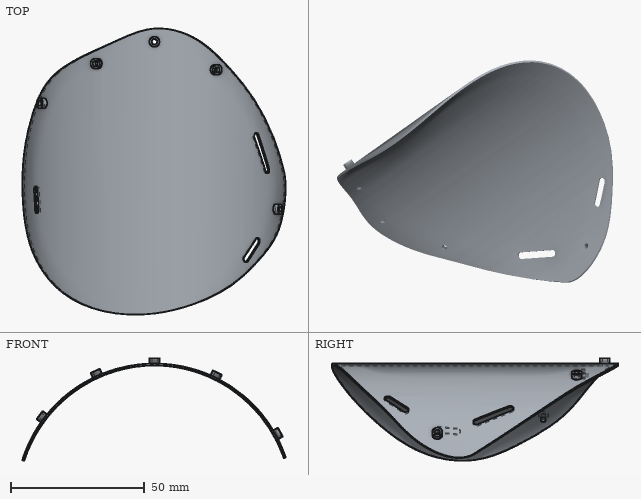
import cadquery as cq
import math

outer_radius = 52.1
thickness = 0.8
blank_length = 120.0

rim_points = [
    (69.4, 0.0),
    (56.0, 16.6),
    (44.0, 29.1),
    (31.8, 39.8),
    (17.8, 49.8),
    (0.0, 53.9),
    (-17.4, 48.7),
    (-33.9, 42.4),
    (-50.7, 33.5),
    (-63.6, 18.8),
    (-72.1, 0.0),
    (-68.5, -20.2),
    (-54.9, -36.3),
    (-37.7, -47.2),
    (-18.9, -52.8),
    (0.0, -53.2),
    (17.6, -49.3),
    (33.9, -42.5),
    (49.4, -32.7),
    (65.6, -19.4),
]
rim_cut_margin = 0.6

boss_diameter = 3.8
boss_bore = 2.0
boss_height = 2.0
bore_overrun = 0.8
boss_places = [(-52.8, 25.8), (-24.3, 40.7), (0.0, 48.9), (25.9, 38.4), (60.9, -14.0)]

slot_width = 2.5
slots = [
    ((-59.0, -6.7), (-58.1, -14.3)),
    ((47.4, 13.4), (54.6, 0.7)),
    ((48.1, -26.0), (41.5, -32.6)),
]
slot_cut_reach = 3.0


def surface_point(radius, degrees, y):
    """Point at the given radius from the Y axis, turned from the crown towards +X."""
    angle = math.radians(degrees)
    return cq.Vector(radius * math.sin(angle), y, radius * math.cos(angle))


def normal_plane(radius, degrees, y, x_dir=(0, 1, 0)):
    """Plane square to the radius through a point, facing outwards."""
    normal = surface_point(1, degrees, 0)
    return cq.Plane(surface_point(radius, degrees, y), x_dir, normal)


def rim_curve(radius):
    """Closed rim curve, scaled radially so that the cut edge stays square to the shell."""
    points = [surface_point(radius, degrees, y) for degrees, y in rim_points]
    return cq.Edge.makeSpline(points, periodic=True)


def make_shell():
    """Piece of the half tube that lies inside the rim."""
    inner_radius = outer_radius - thickness
    tube = (
        cq.Workplane("XZ")
        .circle(outer_radius)
        .circle(inner_radius)
        .extrude(blank_length / 2, both=True)
    )
    upper_half = cq.Workplane("XY").box(
        2 * outer_radius, blank_length, outer_radius, centered=(True, True, False)
    )
    blank = tube.intersect(upper_half)
    rim_cut = cq.Face.makeRuledSurface(
        rim_curve(inner_radius - rim_cut_margin), rim_curve(outer_radius + rim_cut_margin)
    )
    pieces = blank.val().split(rim_cut).Solids()
    return cq.Workplane(max(pieces, key=lambda piece: piece.Center().z))


def make_boss(degrees, y):
    """Solid boss rooted in the middle of the shell thickness."""
    root = outer_radius - thickness / 2
    plane = normal_plane(root, degrees, y)
    return cq.Workplane(plane).circle(boss_diameter / 2).extrude(boss_height + thickness / 2)


def make_bore(degrees, y):
    """Cutter for the hole through a boss and the shell below it."""
    plane = normal_plane(outer_radius - thickness - bore_overrun, degrees, y)
    depth = boss_height + thickness + 2 * bore_overrun
    return cq.Workplane(plane).circle(boss_bore / 2).extrude(depth)


def make_slot_cutter(first_end, second_end):
    """Cutter for a slot that runs between two points on the outer skin."""
    start = surface_point(outer_radius, *first_end)
    run = surface_point(outer_radius, *second_end) - start
    middle_degrees = (first_end[0] + second_end[0]) / 2
    middle_y = (first_end[1] + second_end[1]) / 2
    plane = normal_plane(outer_radius, middle_degrees, middle_y, run)
    return (
        cq.Workplane(plane)
        .slot2D(run.Length + slot_width, slot_width)
        .extrude(slot_cut_reach, both=True)
    )


result = make_shell()
for place in boss_places:
    result = result.union(make_boss(*place))
for place in boss_places:
    result = result.cut(make_bore(*place))
for slot in slots:
    result = result.cut(make_slot_cutter(*slot))